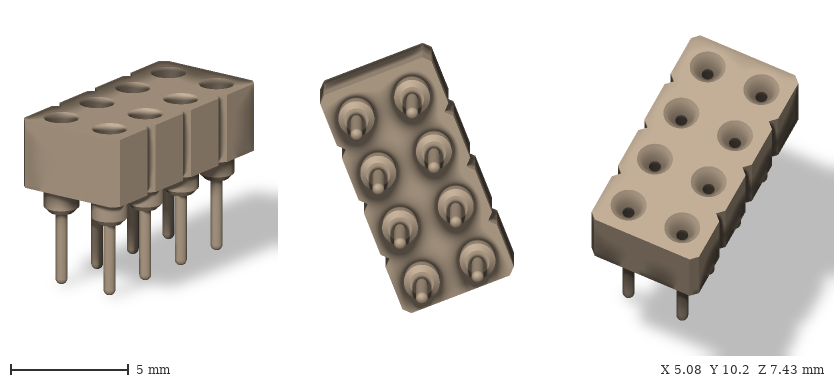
import cadquery as cq

pitch = 2.54
columns = 2
rows = 4

body_width = columns * pitch
body_height = 3.0
corner_cut = 0.29

socket_diameter = 1.52
pin_diameter = 0.51
funnel_depth = 0.6
bore_diameter = 0.51
bore_depth = body_height
collar_height = 1.2
collar_chamfer = 0.25
pin_length = 3.23
tip_radius = 0.49 * pin_diameter

contact_centers = [
    ((column - (columns - 1) / 2) * pitch, (row - (rows - 1) / 2) * pitch)
    for column in range(columns)
    for row in range(rows)
]


def make_body():
    """One chamfered block per row; neighbouring chamfers form the V notches."""
    body = cq.Workplane("XY")
    for row in range(rows):
        block = (
            cq.Workplane("XY")
            .box(body_width, pitch, body_height, centered=(True, True, False))
            .edges("|Z")
            .chamfer(corner_cut)
            .translate((0, (row - (rows - 1) / 2) * pitch, -body_height))
        )
        body = body.add(block)
    return body.combine()


def make_contact():
    """Collar and round-tipped pin below the body."""
    collar = (
        cq.Workplane("XY", origin=(0, 0, -body_height))
        .circle(socket_diameter / 2)
        .extrude(-collar_height)
        .faces("<Z")
        .chamfer(collar_chamfer)
    )
    pin = (
        cq.Workplane("XY", origin=(0, 0, -body_height - collar_height))
        .circle(pin_diameter / 2)
        .extrude(-pin_length)
        .faces("<Z")
        .edges()
        .fillet(tip_radius)
    )
    return collar.union(pin)


def make_socket():
    """Conical lead-in narrowing to a blind bore that ends level with the body's underside."""
    funnel = (
        cq.Workplane("XY")
        .circle(socket_diameter / 2)
        .workplane(offset=-funnel_depth)
        .circle(bore_diameter / 2)
        .loft()
    )
    bore = cq.Workplane("XY").circle(bore_diameter / 2).extrude(-bore_depth)
    return funnel.union(bore)


contact = make_contact()
socket = make_socket()
result = make_body()
for x, y in contact_centers:
    result = result.union(contact.translate((x, y, 0)))
    result = result.cut(socket.translate((x, y, 0)))